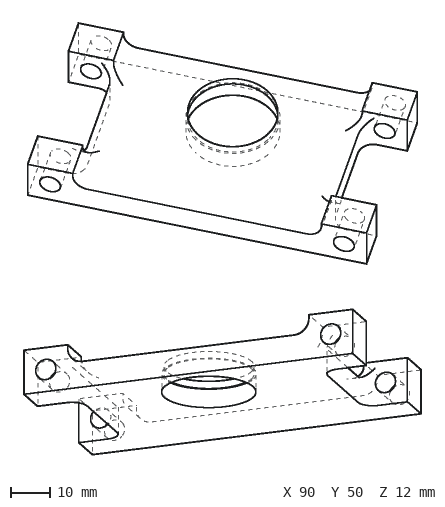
import cadquery as cq

length = 90.0
width = 50.0
height = 12.0

plate_thickness = 7.0
lug_length = 12.0
lug_width = 10.0
corner_radius = 4.0

pin_diameter = 5.5
pin_x = length / 2 - lug_length / 2
pin_z = height / 2

bore_y = 10.0
lip_diameter = 23.2
bore_diameter = 24.2
lip_thickness = 2.0

lug_gap_x = length - 2 * lug_length
lug_gap_y = width - 2 * lug_width


def make_trough(plane, gap, run):
    """Cutter that lowers the block to the plate between lugs, with rounded bottom edges."""
    half_gap = gap / 2
    cutter = (
        cq.Workplane(plane)
        .moveTo(-half_gap, plate_thickness)
        .lineTo(half_gap, plate_thickness)
        .lineTo(half_gap, 2 * height)
        .lineTo(-half_gap, 2 * height)
        .close()
        .extrude(run / 2, both=True)
    )
    run_axis = "Y" if plane == "XZ" else "X"
    return cutter.edges(f"|{run_axis} and <Z").fillet(corner_radius)


def make_end_notch(side):
    """Cutter for the full-height notch between the two lugs at one end (side is -1 or 1)."""
    inner_edges = "|Z and >X" if side < 0 else "|Z and <X"
    notch = (
        cq.Workplane("XY")
        .center(side * length / 2, 0)
        .rect(2 * lug_length, lug_gap_y)
        .extrude(height)
    )
    return notch.edges(inner_edges).fillet(corner_radius)


def make_pin_holes():
    """Pin bores across the full width, one through each pair of lugs."""
    return (
        cq.Workplane("XZ")
        .pushPoints([(-pin_x, pin_z), (pin_x, pin_z)])
        .circle(pin_diameter / 2)
        .extrude(width / 2, both=True)
    )


def make_bore():
    """Stepped bore, narrower at the lip beside the top face of the plate."""
    lip = cq.Workplane("XY").center(0, bore_y).circle(lip_diameter / 2).extrude(plate_thickness)
    wide_depth = plate_thickness - lip_thickness
    wide = cq.Workplane("XY").center(0, bore_y).circle(bore_diameter / 2).extrude(wide_depth)
    return lip.union(wide)


result = cq.Workplane("XY").box(length, width, height, centered=(True, True, False))
result = result.cut(make_trough("XZ", lug_gap_x, width))
result = result.cut(make_trough("YZ", lug_gap_y, length))
for end in (-1, 1):
    result = result.cut(make_end_notch(end))
result = result.cut(make_pin_holes())
result = result.cut(make_bore())